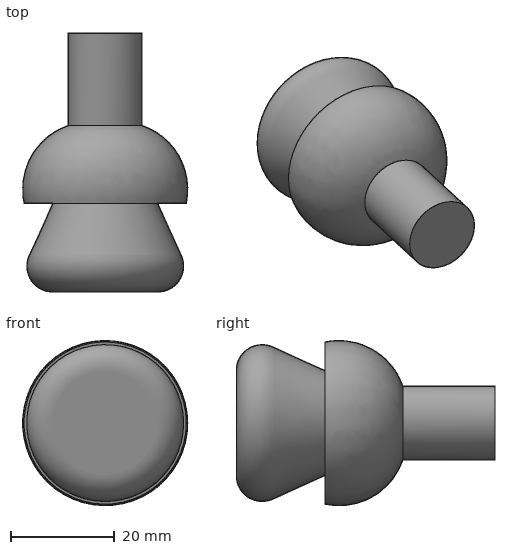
import cadquery as cq
import math

total_length = 50.0

stem_radius = 7.15
stem_length = 17.85

dome_length = 15.05
dome_arc_radius = 13.0
dome_arc_offset = 2.95

face_radius = 10.15
rim_radius = 5.0
foot_height = 7.15
neck_radius = 10.15

front_y = -total_length / 2
back_y = total_length / 2
dome_back_y = back_y - stem_length
dome_front_y = dome_back_y - dome_length
rim_center_y = front_y + rim_radius
foot_top_y = front_y + foot_height
dome_center_y = dome_back_y - math.sqrt(
    dome_arc_radius**2 - (stem_radius - dome_arc_offset) ** 2
)


def radius_on_arc(center_radius, center_y, arc_radius, y):
    """Distance from the axis to the outer side of a profile arc at station y."""
    return center_radius + math.sqrt(arc_radius**2 - (y - center_y) ** 2)


dome_front_radius = radius_on_arc(dome_arc_offset, dome_center_y, dome_arc_radius, dome_front_y)
foot_top_radius = radius_on_arc(face_radius, rim_center_y, rim_radius, foot_top_y)

profile = (
    cq.Workplane("XY")
    .moveTo(0, front_y)
    .lineTo(face_radius, front_y)
    .threePointArc((face_radius + rim_radius, rim_center_y), (foot_top_radius, foot_top_y))
    .lineTo(neck_radius, dome_front_y)
    .lineTo(dome_front_radius, dome_front_y)
    .threePointArc((dome_arc_offset + dome_arc_radius, dome_center_y), (stem_radius, dome_back_y))
    .lineTo(stem_radius, back_y)
    .lineTo(0, back_y)
    .close()
)

result = profile.revolve(360, (0, 0, 0), (0, 1, 0))